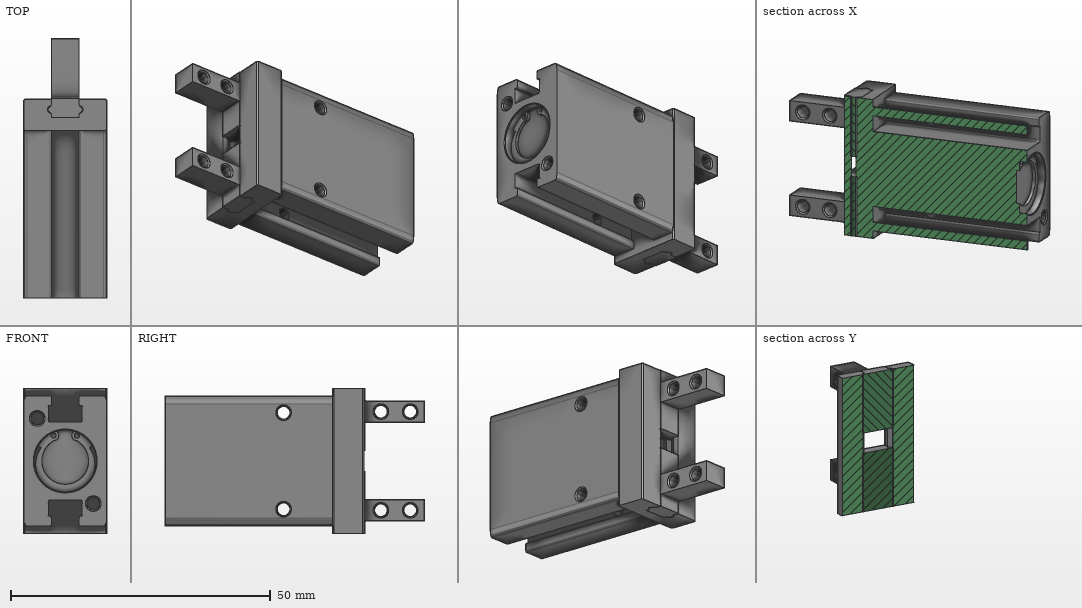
import cadquery as cq
import math


width = 16.0
total_length = 50.0
head_height = 28.0

body_length = 32.3
body_height = 25.0
side_arc_radius = 4.0
side_arc_start = 11.0
corner_fillet = 0.5

slot_neck_width = 5.25
slot_width = 6.55
slot_shoulder_height = 10.65
slot_floor_height = 7.55
slot_fillet = 0.3

head_length = 6.05
head_chamfer = 0.25

bore_diameter = 12.0
bore_chamfer = 0.15
bore_depth = 2.15
ring_thickness = 0.65
ring_inner_diameter = 9.0
ring_relief_diameter = 11.4
ring_relief_drop = 0.7
ring_relief_angle = 29.0
ear_diameter = 2.0
ear_hole_diameter = 1.0
ear_x = 2.25
ear_z = 4.9

hole_diameter = 2.45
countersink_diameter = 3.0
cross_hole_y = 22.85
cross_hole_z = 9.3
rear_hole_x = 5.4
rear_hole_z = 8.2
rear_hole_depth = 7.5

finger_width = 5.3
guide_floor_y = 34.85
base_front_y = 38.5
base_inner_z = 2.0
arm_inner_z = 7.45
arm_outer_z = 11.55
arm_fillet = 0.3
arm_hole_setbacks = (2.75, 8.4)
arm_hole_z = 9.5
ridge_y = 36.35
ridge_root_half = 0.85
ridge_height = 0.65
groove_diameter = 1.5

pick_margin = 0.025


def countersunk_drill(start, direction, depth, both_ends=False):
    """Cutter for a hole from `start`, countersunk at 45 degrees at its entry or at both ends."""
    start = cq.Vector(*start)
    direction = cq.Vector(*direction)
    radius = hole_diameter / 2
    rim_radius = countersink_diameter / 2
    sink = rim_radius - radius
    cutter = cq.Solid.makeCylinder(radius, depth, start, direction)
    cutter = cutter.fuse(cq.Solid.makeCone(rim_radius, radius, sink, start, direction))
    if both_ends:
        end = start + direction * depth
        cutter = cutter.fuse(cq.Solid.makeCone(rim_radius, radius, sink, end, direction * -1))
    return cutter


def rear_disc(diameter, y_start, length, x=0, z=0):
    """Disc along +Y, starting at y_start."""
    return cq.Workplane("XZ", origin=(x, y_start, z)).circle(diameter / 2).extrude(-length)


def body_half_profile():
    """Upper half of the body's cross-section, with rounded shoulders along the top edges."""
    half_width = width / 2
    top = body_height / 2
    arc_center_x = half_width - side_arc_radius
    fillet_center_z = top - corner_fillet
    rise = fillet_center_z - side_arc_start
    reach = side_arc_radius - corner_fillet
    tilt = math.asin(rise / reach)
    fillet_center_x = arc_center_x + reach * math.cos(tilt)
    fillet_mid = (tilt + math.pi / 2) / 2

    def on_side_arc(angle):
        return (
            arc_center_x + side_arc_radius * math.cos(angle),
            side_arc_start + side_arc_radius * math.sin(angle),
        )

    corner_mid = (
        fillet_center_x + corner_fillet * math.cos(fillet_mid),
        fillet_center_z + corner_fillet * math.sin(fillet_mid),
    )
    half = (
        cq.Workplane("XZ")
        .moveTo(0, 0)
        .lineTo(half_width, 0)
        .lineTo(half_width, side_arc_start)
        .threePointArc(on_side_arc(tilt / 2), on_side_arc(tilt))
        .threePointArc(corner_mid, (fillet_center_x, top))
        .lineTo(0, top)
        .close()
        .extrude(-body_length)
    )
    return half.union(half.mirror("YZ"))


def t_slot():
    """Cutter for the upper T-slot; its mouth and floor corners are rounded."""
    top = body_height / 2
    floor = (
        cq.Workplane("XY")
        .box(slot_width, body_length, slot_shoulder_height - slot_floor_height, centered=(True, False, False))
        .translate((0, 0, slot_floor_height))
        .edges("|Y and <Z")
        .fillet(slot_fillet)
    )
    neck = (
        cq.Workplane("XY")
        .box(slot_neck_width, body_length, top - slot_floor_height, centered=(True, False, False))
        .translate((0, 0, slot_floor_height))
    )
    return floor.union(neck)


def round_slot_lips(body):
    """Round the upper and lower edge of each lip beside the slot's neck."""
    half_neck = slot_neck_width / 2
    for x in (-half_neck, half_neck):
        for z in (slot_shoulder_height, body_height / 2):
            lip_edge = cq.selectors.BoxSelector(
                (x - pick_margin, 0, z - pick_margin),
                (x + pick_margin, body_length, z + pick_margin),
            )
            body = body.edges("|Y").edges(lip_edge).fillet(slot_fillet)
    return body


def make_body():
    upper = round_slot_lips(body_half_profile().cut(t_slot()))
    return upper.union(upper.mirror("XY"))


def make_head():
    return (
        cq.Workplane("XY")
        .box(width, head_length, head_height, centered=(True, False, True))
        .translate((0, body_length, 0))
        .edges("|Z")
        .chamfer(head_chamfer)
    )


def guide_outline(top_y):
    """Outline of the finger's sliding part: straight sides with a ridge along each."""
    half = finger_width / 2
    tip_half = ridge_root_half - ridge_height
    right_side = [
        (half, guide_floor_y),
        (half, ridge_y - ridge_root_half),
        (half + ridge_height, ridge_y - tip_half),
        (half + ridge_height, ridge_y + tip_half),
        (half, ridge_y + ridge_root_half),
        (half, top_y),
    ]
    left_side = [(-x, y) for x, y in reversed(right_side)]
    return cq.Workplane("XY").polyline(right_side + left_side).close()


def guide_slot():
    """Cutter for the guide, with round relief grooves behind the ridges, as long as each finger base."""
    head_front = body_length + head_length
    slot = guide_outline(head_front).extrude(head_height / 2, both=True)
    grooves = (
        cq.Workplane("XY", origin=(0, 0, base_inner_z))
        .pushPoints([(-finger_width / 2, ridge_y), (finger_width / 2, ridge_y)])
        .circle(groove_diameter / 2)
        .extrude(head_height / 2 - base_inner_z)
    )
    return slot.union(grooves).union(grooves.mirror("XY"))


def retaining_ring():
    """Open ring with two eyed ears at the top and a relieved outer edge on each side."""
    y = bore_depth - ring_thickness
    ring = rear_disc(bore_diameter, y, ring_thickness).cut(
        rear_disc(ring_inner_diameter, y, ring_thickness)
    )
    gap = (
        cq.Workplane("XY")
        .box(2 * ear_x, ring_thickness, bore_diameter / 2, centered=(True, False, False))
        .translate((0, y, 0))
    )
    reach = bore_diameter
    relief_end_x = reach * math.cos(math.radians(ring_relief_angle))
    relief_end_z = reach * math.sin(math.radians(ring_relief_angle))
    relief = (
        cq.Workplane("XZ", origin=(0, y, 0))
        .polyline(
            [
                (0, 0),
                (relief_end_x, relief_end_z),
                (reach, -reach),
                (-reach, -reach),
                (-relief_end_x, relief_end_z),
            ]
        )
        .close()
        .extrude(-ring_thickness)
        .cut(rear_disc(ring_relief_diameter, y, ring_thickness, z=-ring_relief_drop))
    )
    ring = ring.cut(gap).cut(relief)
    for x in (-ear_x, ear_x):
        ear = rear_disc(ear_diameter, y, ring_thickness, x, ear_z)
        ring = ring.union(ear.intersect(rear_disc(bore_diameter, y, ring_thickness)))
        ring = ring.cut(rear_disc(ear_hole_diameter, y, ring_thickness, x, ear_z))
    return ring


def rear_bore():
    mouth = cq.Solid.makeCone(
        bore_diameter / 2 + bore_chamfer,
        bore_diameter / 2,
        bore_chamfer,
        cq.Vector(0, 0, 0),
        cq.Vector(0, 1, 0),
    )
    return rear_disc(bore_diameter, 0, bore_depth).union(cq.Workplane(mouth))


def make_housing():
    housing = make_body().union(make_head()).cut(guide_slot())
    housing = housing.cut(rear_bore()).union(retaining_ring())
    for side in (-1, 1):
        cross_start = (-width / 2, cross_hole_y, side * cross_hole_z)
        housing = housing.cut(cq.Workplane(countersunk_drill(cross_start, (1, 0, 0), width, both_ends=True)))
        rear_start = (side * rear_hole_x, 0, -side * rear_hole_z)
        housing = housing.cut(cq.Workplane(countersunk_drill(rear_start, (0, 1, 0), rear_hole_depth)))
    return housing


def make_finger():
    """Upper finger: a ridged base that slides along Z, and an arm with two cross holes."""
    base = (
        guide_outline(base_front_y)
        .extrude(head_height / 2 - base_inner_z)
        .translate((0, 0, base_inner_z))
    )
    arm = (
        cq.Workplane("XY")
        .box(
            finger_width,
            total_length - base_front_y,
            arm_outer_z - arm_inner_z,
            centered=(True, False, False),
        )
        .translate((0, base_front_y, arm_inner_z))
    )
    root_edge = cq.selectors.BoxSelector(
        (-finger_width / 2, base_front_y - pick_margin, arm_outer_z - pick_margin),
        (finger_width / 2, base_front_y + pick_margin, arm_outer_z + pick_margin),
    )
    finger = base.union(arm).edges("|X").edges(root_edge).fillet(arm_fillet)
    for setback in arm_hole_setbacks:
        start = (-finger_width / 2, total_length - setback, arm_hole_z)
        finger = finger.cut(cq.Workplane(countersunk_drill(start, (1, 0, 0), finger_width, both_ends=True)))
    return finger


housing = make_housing()
fingers = []
for turn in (0, 180):
    fingers.append(make_finger().rotate((0, 0, 0), (0, 1, 0), turn))

result = cq.Compound.makeCompound([housing.val(), *[finger.val() for finger in fingers]])